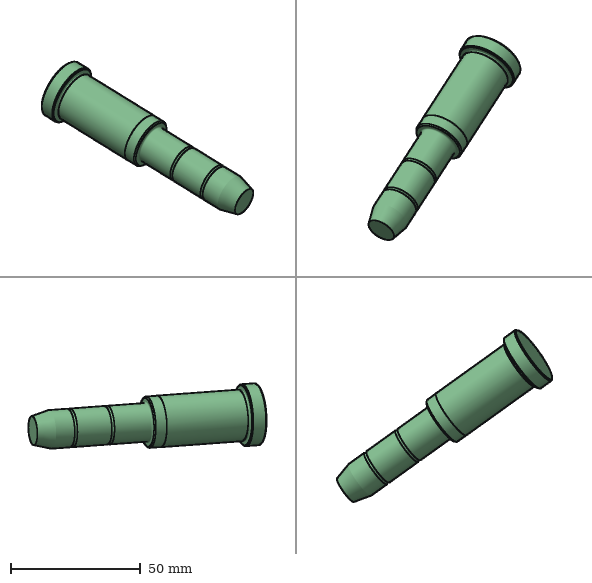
import cadquery as cq
import math

length = 91.0
head_diameter = 24.0
head_length = 6.0
head_chamfer = 0.5
body_diameter = 20.0
body_end = 44.95
body_chamfer = 0.55
lead_diameter = 19.9
lead_start = 39.95
relief_width = 1.0
relief_depth = 0.5
pin_diameter = 15.0
root_fillet = 0.55
groove_width = 1.1
groove_depth = 0.5
groove_centers = (60.9, 75.9)
taper_length = 7.0
taper_angle = 15.0

head_radius = head_diameter / 2
body_radius = body_diameter / 2
lead_radius = lead_diameter / 2
pin_radius = pin_diameter / 2
tip_radius = pin_radius - taper_length * math.tan(math.radians(taper_angle))


def add_round_groove(profile, center, width, radius, depth):
    """Run the profile up to a groove and across its concave arc."""
    return profile.lineTo(center - width / 2, radius).threePointArc(
        (center, radius - depth), (center + width / 2, radius)
    )


profile = (
    cq.Workplane("XY")
    .lineTo(0, head_radius - head_chamfer)
    .lineTo(head_chamfer, head_radius)
    .lineTo(head_length - head_chamfer, head_radius)
    .lineTo(head_length, head_radius - head_chamfer)
)

profile = add_round_groove(
    profile, head_length + relief_width / 2, relief_width, body_radius, relief_depth
)
profile = (
    profile.lineTo(lead_start, body_radius)
    .lineTo(lead_start, lead_radius)
    .lineTo(body_end - body_chamfer, lead_radius)
    .lineTo(body_end, lead_radius - body_chamfer)
)

profile = profile.lineTo(body_end, pin_radius + root_fillet).radiusArc(
    (body_end + root_fillet, pin_radius), -root_fillet
)
for center in groove_centers:
    profile = add_round_groove(profile, center, groove_width, pin_radius, groove_depth)
profile = (
    profile.lineTo(length - taper_length, pin_radius)
    .lineTo(length, tip_radius)
    .lineTo(length, 0)
    .close()
)

result = profile.revolve(360, (0, 0, 0), (1, 0, 0))